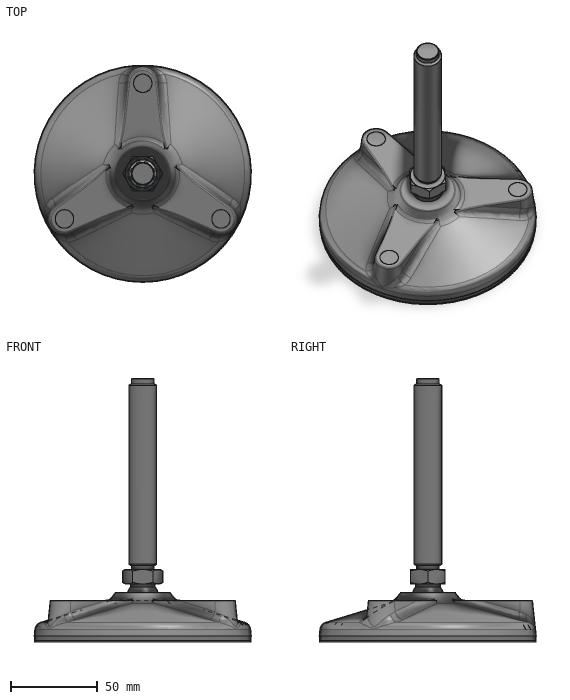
import cadquery as cq
import math

DRAFT = 6.0
BASE_RADIUS = 62.5
PAD_RADIUS = 62.2
PAD_HEIGHT = 0.9
FOOT_RADIUS = 62.3
FOOT_HEIGHT = 3.6
RIM_TOP = 7.2
ROUND_TOP_RADIUS = 58.7
ROUND_TOP = 11.4
CONE_SLOPE = 17.0

COLLAR_RADIUS = 15.7
COLLAR_TOP = 28.6
COLLAR_EDGE_ROUND = 0.6
FLARE_SINK = 0.02
FLARE_FOOT_RADIUS = 24.0

RIB_ANGLES = (90, 210, 330)
SEAM_ANGLE = 30
RIB_TOP = 24.1
RIB_BOTTOM = 5.0
RIB_END_CENTRE = 52.0
RIB_END_RADIUS = 8.2
RIB_INNER_CENTRE = 9.0
RIB_SPLAY = 6.5
RIB_ROOT_ROUND = 5.5
RIB_TOP_ROUND = 0.8
TALL_RIB_TOP = 40.0
BLEND_INNER_RADIUS = 18.0
BLEND_OUTER_RADIUS = 21.3
BLEND_TOP = 25.5
SPOT_DIAMETER = 10.6
SPOT_DEPTH = 0.1

BALL_DIAMETER = 18.32
BALL_CENTRE = 25.9
NECK_DIAMETER = 14.3
HEX_FLATS = 20.0
HEX_SIDES = 6
HEX_BOTTOM = 33.5
HEX_TOP = 41.8
CHAMFER_ANGLE = 30.0
THREAD_DIAMETER = 16.0
RELIEF_DIAMETER = 13.0
THREAD_BOTTOM = 44.0
THREAD_TOP = 148.6
STUD_TOP = 151.69
TIP_CHAMFER = 0.4


def tan(degrees):
    return math.tan(math.radians(degrees))


def cone_height(radius):
    """Height of the plate's conical top at a distance from the axis."""
    return ROUND_TOP + (ROUND_TOP_RADIUS - radius) * tan(CONE_SLOPE)


def concave_arc_middle(start, end, end_slope):
    """Middle of the sagging arc that runs down from start and arrives at end falling by end_slope."""
    dr = end[0] - start[0]
    dz = end[1] - start[1]
    half_turn = math.atan2(-dz, dr) - math.radians(end_slope)
    sag_ratio = math.tan(half_turn / 2) / 2
    middle_radius = (start[0] + end[0]) / 2 + sag_ratio * dz
    middle_height = (start[1] + end[1]) / 2 - sag_ratio * dr
    return (middle_radius, middle_height)


def revolve_about_z(profile):
    return profile.close().revolve(360, (0, 0, 0), (0, 1, 0))


def make_plate():
    """Foot and rim with a plain conical top that runs up to its apex."""
    rim_top_radius = BASE_RADIUS - (RIM_TOP - FOOT_HEIGHT) * tan(DRAFT)
    profile = (
        cq.Workplane("XZ")
        .lineTo(PAD_RADIUS, 0)
        .lineTo(PAD_RADIUS, PAD_HEIGHT)
        .lineTo(FOOT_RADIUS, PAD_HEIGHT)
        .lineTo(FOOT_RADIUS, FOOT_HEIGHT)
        .lineTo(BASE_RADIUS, FOOT_HEIGHT)
        .lineTo(rim_top_radius, RIM_TOP)
        .tangentArcPoint((ROUND_TOP_RADIUS, ROUND_TOP), relative=False)
        .lineTo(0, cone_height(0))
    )
    return revolve_about_z(profile).rotate((0, 0, 0), (0, 0, 1), 180)


def make_collar():
    """Collar with a concave flare, its foot sunk a little so that it joins the cone cleanly."""
    top_edge = (COLLAR_RADIUS, COLLAR_TOP)
    foot = (FLARE_FOOT_RADIUS, cone_height(FLARE_FOOT_RADIUS) - FLARE_SINK)
    profile = (
        cq.Workplane("XZ")
        .moveTo(0, ROUND_TOP)
        .lineTo(FLARE_FOOT_RADIUS, ROUND_TOP)
        .lineTo(*foot)
        .threePointArc(concave_arc_middle(top_edge, foot, CONE_SLOPE), top_edge)
        .lineTo(0, COLLAR_TOP)
    )
    collar = revolve_about_z(profile).faces(">Z").edges().fillet(COLLAR_EDGE_ROUND)
    return collar.rotate((0, 0, 0), (0, 0, 1), SEAM_ANGLE)


def make_tall_rib():
    """Drafted rib along +X, rounded at both ends and taller than the plate."""
    sin_splay = math.sin(math.radians(RIB_SPLAY))
    cos_splay = math.cos(math.radians(RIB_SPLAY))
    outer_radius = RIB_END_RADIUS + (RIB_TOP - RIB_BOTTOM) * tan(DRAFT)
    inner_radius = outer_radius + (RIB_END_CENTRE - RIB_INNER_CENTRE) * sin_splay
    outer_x = RIB_END_CENTRE + outer_radius * sin_splay
    outer_y = outer_radius * cos_splay
    inner_x = RIB_INNER_CENTRE + inner_radius * sin_splay
    inner_y = inner_radius * cos_splay
    return (
        cq.Workplane("XY", origin=(0, 0, RIB_BOTTOM))
        .moveTo(inner_x, -inner_y)
        .lineTo(outer_x, -outer_y)
        .threePointArc((RIB_END_CENTRE + outer_radius, 0), (outer_x, outer_y))
        .lineTo(inner_x, inner_y)
        .threePointArc((RIB_INNER_CENTRE - inner_radius, 0), (inner_x, -inner_y))
        .close()
        .extrude(TALL_RIB_TOP - RIB_BOTTOM, taper=DRAFT)
    )


def make_plate_with_rib(plate, tall_rib):
    """Plate carrying one rib, its root blended in, cut level at the rib top."""
    joined = plate.union(tall_rib)
    root_edges = [e for e in joined.edges().vals() if e.geomType() in ("HYPERBOLA", "BSPLINE")]
    blended = joined.newObject(root_edges).fillet(RIB_ROOT_ROUND)
    trim = cq.Workplane("XY", origin=(0, 0, RIB_TOP)).circle(BASE_RADIUS).extrude(TALL_RIB_TOP)
    trimmed = blended.cut(trim)
    exposed_edges = [e for e in trimmed.faces(">Z").edges().vals() if e.Center().x > FLARE_FOOT_RADIUS]
    return trimmed.newObject(exposed_edges).fillet(RIB_TOP_ROUND)


def make_rib_blend(tall_rib):
    """Concave ring from the rib top up to the collar, kept only across the rib's width."""
    upper = (BLEND_INNER_RADIUS, BLEND_TOP)
    lower = (BLEND_OUTER_RADIUS, RIB_TOP)
    profile = (
        cq.Workplane("XZ")
        .moveTo(0, RIB_BOTTOM)
        .lineTo(BLEND_OUTER_RADIUS, RIB_BOTTOM)
        .lineTo(*lower)
        .threePointArc(concave_arc_middle(upper, lower, 0), upper)
        .lineTo(0, BLEND_TOP)
    )
    return revolve_about_z(profile).intersect(tall_rib)


def make_spot():
    return (
        cq.Workplane("XY", origin=(RIB_END_CENTRE, 0, RIB_TOP - SPOT_DEPTH))
        .circle(SPOT_DIAMETER / 2)
        .extrude(SPOT_DEPTH)
    )


def make_foot():
    tall_rib = make_tall_rib()
    ribbed_plate = make_plate_with_rib(make_plate(), tall_rib)
    arm = ribbed_plate.union(make_rib_blend(tall_rib)).cut(make_spot())
    foot = arm.rotate((0, 0, 0), (0, 0, 1), RIB_ANGLES[0])
    for angle in RIB_ANGLES[1:]:
        foot = foot.union(arm.rotate((0, 0, 0), (0, 0, 1), angle))
    return foot.union(make_collar())


def make_hexagon():
    """Spanner hexagon with corners along X, both ends chamfered round."""
    height = HEX_TOP - HEX_BOTTOM
    corner_radius = HEX_FLATS / 2 / math.cos(math.pi / HEX_SIDES)
    flat_radius = HEX_FLATS / 2
    chamfer_height = (corner_radius - flat_radius) * tan(CHAMFER_ANGLE)
    prism = (
        cq.Workplane("XY", origin=(0, 0, HEX_BOTTOM))
        .polygon(HEX_SIDES, 2 * corner_radius)
        .extrude(height)
    )
    envelope = revolve_about_z(
        cq.Workplane("XZ")
        .moveTo(0, HEX_BOTTOM)
        .lineTo(flat_radius, HEX_BOTTOM)
        .lineTo(corner_radius, HEX_BOTTOM + chamfer_height)
        .lineTo(corner_radius, HEX_TOP - chamfer_height)
        .lineTo(flat_radius, HEX_TOP)
        .lineTo(0, HEX_TOP)
    )
    return prism.intersect(envelope)


def make_stud():
    neck_radius = NECK_DIAMETER / 2
    thread_radius = THREAD_DIAMETER / 2
    relief_radius = RELIEF_DIAMETER / 2
    chamfer_height = (thread_radius - relief_radius) * tan(CHAMFER_ANGLE)
    ball = cq.Workplane("XY", origin=(0, 0, BALL_CENTRE)).sphere(BALL_DIAMETER / 2)
    neck = (
        cq.Workplane("XY", origin=(0, 0, BALL_CENTRE))
        .circle(neck_radius)
        .extrude(HEX_BOTTOM - BALL_CENTRE)
    )
    rod = revolve_about_z(
        cq.Workplane("XZ")
        .moveTo(0, HEX_BOTTOM)
        .lineTo(relief_radius, HEX_BOTTOM)
        .lineTo(relief_radius, THREAD_BOTTOM)
        .lineTo(thread_radius, THREAD_BOTTOM + chamfer_height)
        .lineTo(thread_radius, THREAD_TOP - chamfer_height)
        .lineTo(relief_radius, THREAD_TOP)
        .lineTo(relief_radius, STUD_TOP - TIP_CHAMFER)
        .lineTo(relief_radius - TIP_CHAMFER, STUD_TOP)
        .lineTo(0, STUD_TOP)
    )
    return ball.union(neck).union(make_hexagon()).union(rod)


result = make_foot().union(make_stud())